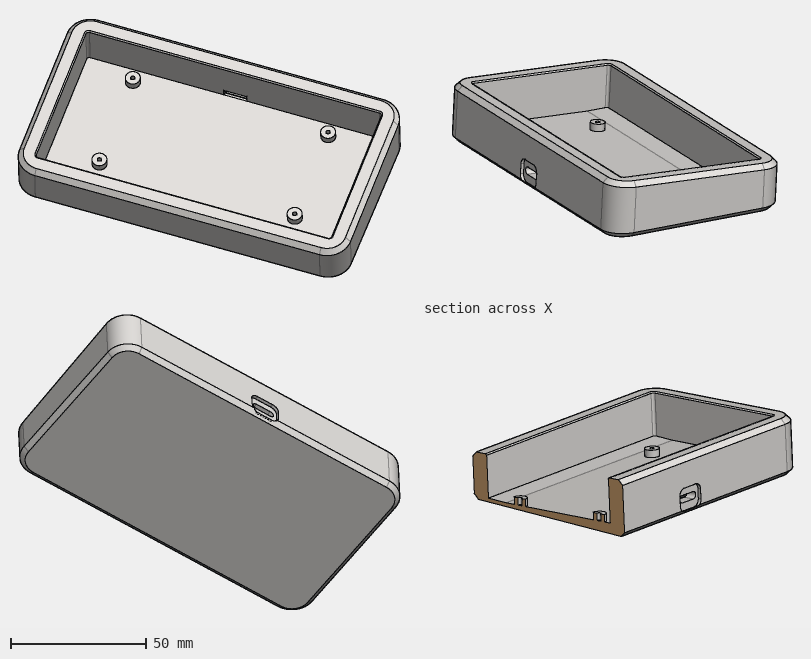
import cadquery as cq
import math

case_length = 129.3
case_width = 72.3
back_height = 22.0
tilt = 3.0
corner_radius = 9.0
edge_chamfer = 2.0

wall = 7.0
cavity_depth = 17.5
cavity_corner_radius = 1.0
mouth_chamfer = 0.5
min_floor = 1.7

post_diameter = 5.5
post_bore = 1.5
post_height = 2.8
post_spacing_x = 76.3
post_spacing_y = 38.0
post_offset_y = 4.9

port_rise = 1.2
pocket_width = 9.0
pocket_height = 3.6
pocket_depth = 1.3
slot_width = 9.0
slot_height = 2.8
recess_width = 11.9
recess_height = 9.0
recess_corner_radius = 2.6
recess_depth = 1.3

tilt_sin = math.sin(math.radians(tilt))
rim_centre_height = back_height - (case_width / 2 - edge_chamfer) * tilt_sin
cavity_length = case_length - 2 * wall
cavity_width = case_width - 2 * wall
stock_depth = 2 * back_height
margin = 12.9


def lean(body):
    """Move a body from the rim frame (rim plane at z = 0) to its tilted place."""
    return body.rotate((0, 0, 0), (1, 0, 0), tilt).translate((0, 0, rim_centre_height))


def rounded_block(length, width, depth, radius):
    """Block hanging below the rim plane, with rounded upright corners."""
    block = cq.Workplane("XY").rect(length, width).extrude(-depth)
    return block.edges("|Z").fillet(radius)


def space_above(level):
    """Everything above a level plane, wide and tall enough to hold the case."""
    size = (case_length + margin, case_width + margin, back_height + margin)
    return cq.Workplane("XY").box(*size, centered=(True, True, False)).translate((0, 0, level))


def make_shell():
    stock = rounded_block(case_length, case_width, stock_depth, corner_radius)
    stock = lean(stock.faces(">Z").chamfer(edge_chamfer))
    return stock.intersect(space_above(0)).faces("<Z").chamfer(edge_chamfer)


def make_cavity():
    pocket = rounded_block(cavity_length, cavity_width, cavity_depth, cavity_corner_radius)
    mouth = rounded_block(
        cavity_length + 2 * mouth_chamfer,
        cavity_width + 2 * mouth_chamfer,
        2 * mouth_chamfer,
        cavity_corner_radius + mouth_chamfer,
    )
    mouth = mouth.faces("<Z").chamfer(mouth_chamfer).translate((0, 0, mouth_chamfer))
    return lean(pocket.union(mouth)).intersect(space_above(min_floor))


def make_posts():
    posts = (
        cq.Workplane("XY", origin=(0, post_offset_y, -cavity_depth))
        .rect(post_spacing_x, post_spacing_y, forConstruction=True)
        .vertices()
        .circle(post_diameter / 2)
        .circle(post_bore / 2)
        .extrude(post_height)
    )
    return lean(posts)


def make_port():
    port_z = port_rise - cavity_depth
    outside = cq.Workplane("XZ", origin=(0, case_width / 2, port_z))
    slot = outside.slot2D(slot_width, slot_height).extrude(wall)
    recess = outside.rect(recess_width, recess_height).extrude(recess_depth)
    recess = recess.edges("|Y").fillet(recess_corner_radius)
    pocket = (
        outside.workplane(offset=wall - pocket_depth)
        .rect(pocket_width, pocket_height)
        .extrude(pocket_depth)
    )
    return lean(slot.union(recess).union(pocket))


result = make_shell().cut(make_cavity()).union(make_posts()).cut(make_port())